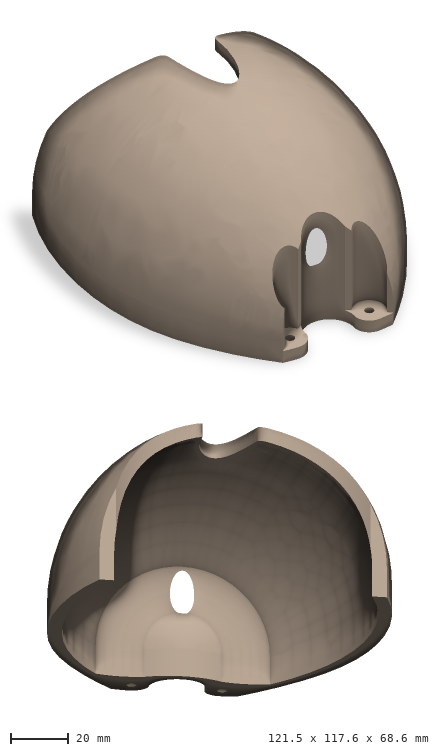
import cadquery as cq
import math

length = 121.5
base_height = 10.1
wall = 5.0
cut_height = 72.9

egg_half_width = 58.8
egg_front = (0, 50.9)
egg_widest = (42.5, egg_half_width)
egg_flank = (80.5, 51.3)
egg_shoulder = (107.7, 34.3)
tail_end = (120.7, 22.3)

cavity_front = (0, 45.7)
cavity_widest = (egg_widest[0], egg_half_width - wall)
cavity_flank = (78.2, 46.8)
cavity_rear = (105.0, 30.9)

hollow_middle = (106.3, 22.1)
bulge_edge = (105.4, 14.2)
bulge_tip_x = 101.8

opening_radius = 58.7
opening_center_x = -37.7
slot_center_x = 19.4
slot_half_length = 31.3
slot_half_width = 9.8
slot_corner_radius = 4.0

neck_radius = 10.0
neck_shoulder_angle = 117.0
tab_radius = 6.2
tab_x = length - tab_radius
tab_y = 16.0
sides = (1, -1)
tab_thickness = 5.0
tab_edge_middle = (121.2, 19.2)
screw_diameter = 3.5


def domed(profile):
    """Revolve a half profile into a half dome and stand it on a skirt of the same outline."""
    outline = profile.val()
    dome = cq.Workplane("XY").add(outline).toPending().revolve(180, (0, 0, 0), (1, 0, 0))
    dome = dome.translate((0, 0, base_height))
    half_skirt = cq.Workplane("XY").add(outline).toPending().extrude(base_height)
    return dome.union(half_skirt).union(half_skirt.mirror("XZ"))


def outer_body():
    profile = (
        cq.Workplane("XY").lineTo(*egg_front)
        .spline([egg_widest, egg_flank, egg_shoulder, tail_end], includeCurrent=True)
        .lineTo(tail_end[0], 0).close()
    )
    return domed(profile)


def cavity():
    bulge_rise = bulge_edge[0] - bulge_tip_x
    bulge_radius = (bulge_rise ** 2 + bulge_edge[1] ** 2) / (2 * bulge_rise)
    profile = (
        cq.Workplane("XY").lineTo(*cavity_front)
        .spline([cavity_widest, cavity_flank, cavity_rear], includeCurrent=True)
        .threePointArc(hollow_middle, bulge_edge)
        .radiusArc((bulge_tip_x, 0), -bulge_radius)
        .close()
    )
    return domed(profile)


def front_opening():
    opening = cq.Workplane("XY").center(opening_center_x, 0).circle(opening_radius).extrude(cut_height)
    slot = (
        cq.Workplane("XY").center(slot_center_x, 0)
        .ellipse(slot_half_length, slot_half_width).extrude(cut_height)
    )
    corner_margin = 2.4
    upright_corners = cq.selectors.BoxSelector(
        (slot_center_x - corner_margin, -slot_half_width - corner_margin, corner_margin),
        (slot_center_x + corner_margin, slot_half_width + corner_margin, cut_height - corner_margin),
    )
    return opening.union(slot).edges(upright_corners).fillet(slot_corner_radius)


def neck():
    return cq.Workplane("XY").center(tab_x, 0).circle(neck_radius).extrude(cut_height)


def tab(side, height):
    """Round tab with its lands reaching the tail and the neck shoulder."""
    shoulder = math.radians(neck_shoulder_angle)
    shoulder_point = (
        tab_x + neck_radius * math.cos(shoulder),
        neck_radius * math.sin(shoulder),
    )
    lands = (
        cq.Workplane("XY").moveTo(tab_x, tab_y).lineTo(*tail_end)
        .threePointArc(tab_edge_middle, (length, tab_y))
        .lineTo(tab_x, tab_y - tab_radius).lineTo(*shoulder_point).close().extrude(height)
    )
    disc = cq.Workplane("XY").center(tab_x, tab_y).circle(tab_radius).extrude(height)
    solid = disc.union(lands)
    return solid if side > 0 else solid.mirror("XZ")


def rear_gap():
    """Everything between and behind the tabs."""
    return (
        cq.Workplane("XY")
        .polyline([
            (tab_x, tab_y), tail_end, (length, tail_end[1]),
            (length, -tail_end[1]), (tail_end[0], -tail_end[1]), (tab_x, -tab_y),
        ]).close().extrude(cut_height)
    )


def screw_holes():
    return (
        cq.Workplane("XY").pushPoints([(tab_x, side * tab_y) for side in sides])
        .circle(screw_diameter / 2).extrude(tab_thickness)
    )


result = outer_body().cut(cavity()).cut(front_opening()).cut(rear_gap())

for side in sides:
    result = result.cut(tab(side, cut_height))
for side in sides:
    result = result.union(tab(side, tab_thickness))

result = result.cut(neck()).cut(screw_holes())